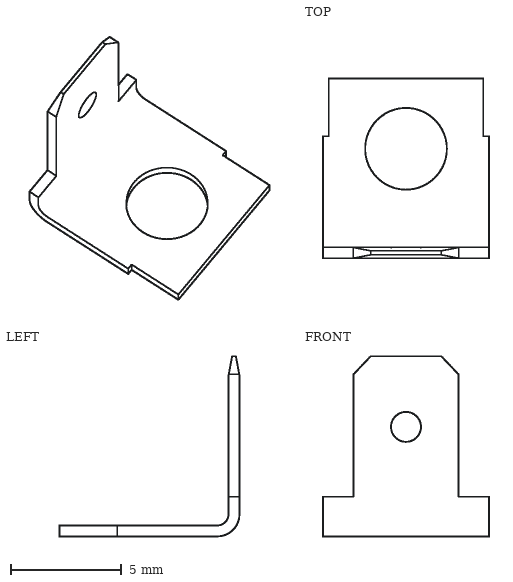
import cadquery as cq

thickness = 0.5
outer_bend_radius = 1.01
inner_bend_radius = outer_bend_radius - thickness
height = 8.13
depth = 8.12
width = 7.49

rear_width = 6.97
rear_step_y = 5.51
base_hole_diameter = 3.675
base_hole_y = 4.94

blade_width = 4.75
shoulder_height = 1.8
blade_hole_diameter = 1.34
blade_hole_height = 4.94

corner_cut_height = 0.82
bevel_height = 0.88
tip_width = 3.19
tip_thickness = 0.18


def bent_strip():
    """L-shaped strip of full width with a rounded bend along X."""
    profile = (
        cq.Workplane("YZ")
        .moveTo(depth, 0)
        .lineTo(outer_bend_radius, 0)
        .radiusArc((0, outer_bend_radius), outer_bend_radius)
        .lineTo(0, height)
        .lineTo(thickness, height)
        .lineTo(thickness, outer_bend_radius)
        .radiusArc((outer_bend_radius, thickness), -inner_bend_radius)
        .lineTo(depth, thickness)
        .close()
    )
    return profile.extrude(width / 2, both=True)


def blade_envelope():
    """Front outline: wide shoulders, narrower blade and chamfered tip."""
    corner_base = height - corner_cut_height
    right_side = [
        (width / 2, 0),
        (width / 2, shoulder_height),
        (blade_width / 2, shoulder_height),
        (blade_width / 2, corner_base),
        (tip_width / 2, height),
    ]
    left_side = [(-x, z) for x, z in reversed(right_side)]
    return cq.Workplane("XZ").polyline(right_side + left_side).close().extrude(-depth)


def tip_bevel(face_y, tip_y):
    """Wedge that thins the blade tip from one face."""
    outline = [(face_y, height - bevel_height), (face_y, height), (tip_y, height)]
    return cq.Workplane("YZ").polyline(outline).close().extrude(width / 2, both=True)


def rear_notch(side):
    """Cutter for the narrower rear end of the base on one side."""
    notch_width = (width - rear_width) / 2
    notch_length = depth - rear_step_y
    notch = cq.Workplane("XY").box(notch_width, notch_length, thickness, centered=(True, False, False))
    return notch.translate((side * (width - notch_width) / 2, rear_step_y, 0))


base_hole = cq.Workplane("XY").center(0, base_hole_y).circle(base_hole_diameter / 2).extrude(thickness)
blade_hole = cq.Workplane("XZ").center(0, blade_hole_height).circle(blade_hole_diameter / 2).extrude(-thickness)

result = bent_strip().intersect(blade_envelope())
result = result.cut(base_hole).cut(blade_hole)
for side in (-1, 1):
    result = result.cut(rear_notch(side))

bevel_depth = (thickness - tip_thickness) / 2
result = result.cut(tip_bevel(0, bevel_depth))
result = result.cut(tip_bevel(thickness, thickness - bevel_depth))

result = result.translate((0, -depth / 2, -height / 2))